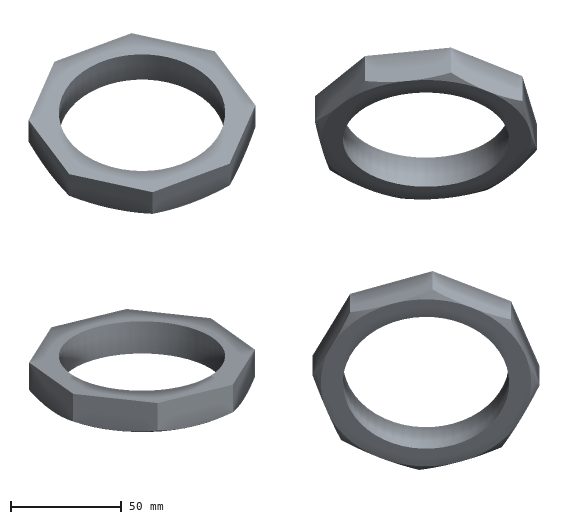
import cadquery as cq
import math

across_flats = 95.0
height = 16.0
bore_diameter = 75.05
chamfer_angle = 30.0
side_count = 8

flat_radius = across_flats / 2
corner_radius = flat_radius / math.cos(math.pi / side_count)
cone_slope = math.tan(math.radians(chamfer_angle))
cone_top_radius = flat_radius + height / cone_slope


def octagon_body():
    """Octagonal prism with flats square to X and Y."""
    half_sector = 180 / side_count
    return (
        cq.Workplane("XY")
        .polygon(side_count, 2 * corner_radius)
        .extrude(height)
        .rotate((0, 0, 0), (0, 0, 1), half_sector)
    )


def chamfer_cone():
    """Cone that meets the middle of each flat at the bottom and trims the lower corners."""
    return cq.Workplane(cq.Solid.makeCone(flat_radius, cone_top_radius, height))


def bore():
    """Cylinder for the through hole."""
    return cq.Workplane("XY").circle(bore_diameter / 2).extrude(height)


result = octagon_body().intersect(chamfer_cone()).cut(bore())